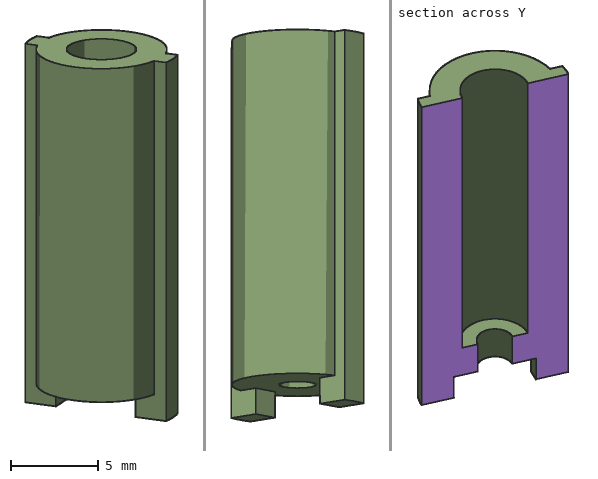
import cadquery as cq

total_height = 21.5
leg_height = 1.5
body_height = total_height - leg_height
body_diameter = 7.5

rib_span = 8.99
rib_width = 1.63
leg_gap = 4.99

bore_diameter = 4.0
hole_diameter = 2.1
floor_thickness = 2.0


def make_body():
    """Cylindrical sleeve, raised above the leg tips."""
    return cq.Workplane("XY").workplane(offset=leg_height).circle(body_diameter / 2).extrude(body_height)


def make_ribs():
    """Full-height bar with rounded outer ends, opened between the legs."""
    envelope = cq.Workplane("XY").circle(rib_span / 2).extrude(total_height)
    bar = cq.Workplane("XY").rect(rib_span, rib_width).extrude(total_height)
    gap = cq.Workplane("XY").rect(leg_gap, rib_width).extrude(leg_height)
    return bar.intersect(envelope).cut(gap)


def make_bore():
    """Through hole with a wide bore down to the sleeve floor."""
    hole = cq.Workplane("XY").circle(hole_diameter / 2).extrude(total_height)
    bore_floor = cq.Workplane("XY").workplane(offset=leg_height + floor_thickness)
    bore = bore_floor.circle(bore_diameter / 2).extrude(body_height - floor_thickness)
    return hole.union(bore)


result = make_body().union(make_ribs()).cut(make_bore())